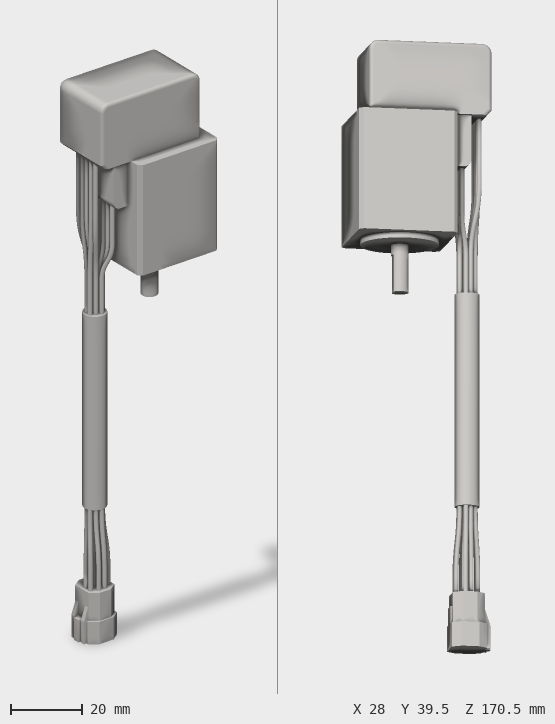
import cadquery as cq


OVERALL_HEIGHT = 170.5
CAP_HEIGHT = 20.3
MOTOR_HEIGHT = 34.5
CAP_BOTTOM = OVERALL_HEIGHT - CAP_HEIGHT
MOTOR_BOTTOM = CAP_BOTTOM - MOTOR_HEIGHT

MOTOR_SIDE = 28.0
MOTOR_CHAMFER = 1.2
BOSS_DIAMETER = 22.0
BOSS_HEIGHT = 1.5
SHAFT_DIAMETER = 5.0
SHAFT_LENGTH = 15.0
SHAFT_FLAT_LENGTH = 10.5
SHAFT_FLAT_DEPTH = 0.5

BLOCK_WIDTH = 17.0
BLOCK_DEPTH = 4.8
BLOCK_HEIGHT = 14.5
BLOCK_FILLET = 2.0
BLOCK_BOTTOM = CAP_BOTTOM - BLOCK_HEIGHT

CAP_WIDTH = 20.1
CAP_BACK = 10.4
CAP_FRONT = -24.2
CAP_TOP_FILLET = 2.5
CAP_UNDERSIDE_CHAMFER = 1.4
CAP_SIDE_FILLET = 1.0

CABLE_Y = -19.1
WIRE_DIAMETER = 1.3
SLEEVE_DIAMETER = 7.0
SLEEVE_TOP = 101.0
SLEEVE_LENGTH = 60.4
SLEEVE_BOTTOM = SLEEVE_TOP - SLEEVE_LENGTH
TERMINAL_GAP = 0.7
TERMINAL_PITCH = WIRE_DIAMETER + TERMINAL_GAP
CAP_WIRE_Y = -21.8
BLOCK_WIRE_Y = -16.7
CAP_WIRE_BEND = 132.3
BLOCK_WIRE_BEND = 123.5
BUNDLE_TOP = 111.0
BUNDLE_PITCH = 1.48
PLUG_WIRE_BEND = 20.5
PLUG_HALF_PITCH_X = 1.05
PLUG_PITCH_Y = 2.0

PLUG_HEIGHT = 15.7
PLUG_WIDTH = 9.9
PLUG_DEPTH = 9.0
PLUG_CORNER_X = 1.9
PLUG_CORNER_Y = 2.5
COLLAR_HEIGHT = 7.0
COLLAR_STEP = 0.5
KEY_WIDTH = 2.0
KEY_FRONT = -25.5
LATCH_X = 2.2
LATCH_WIDTH = 1.4
LATCH_FRONT = -25.0
LATCH_RAMP_HEIGHT = 4.1
BACK_RIB_WIDTH = 3.4
BACK_RIB_HEIGHT = 12.0

WIRE_ROWS = [
    ("cap", (-1, 1), (-0.5, 0.5), (0, 2)),
    ("cap", (-2, 0, 2), (-1, 0, 1), (-1, 1, 3)),
    ("block", (-2.5, -0.5, 0.5, 2.5), (-1.5, -0.5, 0.5, 1.5), (-3, -1, 1, 3)),
    ("block", (-1.5, 1.5), (-0.5, 0.5), (0, 2)),
]


def make_motor():
    body = (
        cq.Workplane("XY", origin=(0, 0, MOTOR_BOTTOM))
        .rect(MOTOR_SIDE, MOTOR_SIDE)
        .extrude(MOTOR_HEIGHT)
        .edges("|Z")
        .chamfer(MOTOR_CHAMFER)
    )
    underside = cq.Workplane("XY", origin=(0, 0, MOTOR_BOTTOM))
    boss = underside.circle(BOSS_DIAMETER / 2).extrude(-BOSS_HEIGHT)
    return body.union(boss).union(make_shaft()).union(make_terminal_block())


def make_shaft():
    shaft_end = MOTOR_BOTTOM - SHAFT_LENGTH
    shaft = (
        cq.Workplane("XY", origin=(0, 0, shaft_end))
        .circle(SHAFT_DIAMETER / 2)
        .extrude(SHAFT_LENGTH)
    )
    flat = cq.Workplane("XY").box(
        SHAFT_DIAMETER, SHAFT_DIAMETER, SHAFT_FLAT_LENGTH, centered=(True, False, False)
    )
    flat_y = SHAFT_DIAMETER / 2 - SHAFT_FLAT_DEPTH
    return shaft.cut(flat.translate((0, flat_y, shaft_end)))


def make_terminal_block():
    return (
        cq.Workplane("XY")
        .box(BLOCK_WIDTH, BLOCK_DEPTH, BLOCK_HEIGHT, centered=(True, False, False))
        .translate((0, -MOTOR_SIDE / 2 - BLOCK_DEPTH, BLOCK_BOTTOM))
        .edges("<Y and <Z")
        .fillet(BLOCK_FILLET)
    )


def make_encoder_cap():
    cap = (
        cq.Workplane("XY")
        .box(CAP_WIDTH, CAP_BACK - CAP_FRONT, CAP_HEIGHT, centered=(True, False, False))
        .translate((0, CAP_FRONT, CAP_BOTTOM))
    )
    cap = cap.edges("|X and >Z").fillet(CAP_TOP_FILLET)
    cap = cap.edges("|X and <Y and <Z").chamfer(CAP_UNDERSIDE_CHAMFER)
    cap_side_rims = cap.faces("<X or >X").edges("not <Z")
    return cap_side_rims.fillet(CAP_SIDE_FILLET)


def make_wire(start, end, upper_bend_z, lower_bend_z):
    """A round wire that runs down from start, shifts sideways between the bends and runs down to end."""
    upper_bend = cq.Vector(start.x, start.y, upper_bend_z)
    lower_bend = cq.Vector(end.x, end.y, lower_bend_z)
    middle_z = (upper_bend_z + lower_bend_z) / 2
    shift = cq.Edge.makeBezier([
        upper_bend,
        cq.Vector(start.x, start.y, middle_z),
        cq.Vector(end.x, end.y, middle_z),
        lower_bend,
    ])
    edges = [shift]
    if start.z > upper_bend_z:
        edges.insert(0, cq.Edge.makeLine(start, upper_bend))
    if end.z < lower_bend_z:
        edges.append(cq.Edge.makeLine(lower_bend, end))
    path = cq.Workplane(cq.Wire.assembleEdges(edges))
    profile = cq.Workplane("XY", origin=start.toTuple()).circle(WIRE_DIAMETER / 2)
    return profile.sweep(path)


def make_cable():
    cable = (
        cq.Workplane("XY", origin=(0, CABLE_Y, SLEEVE_BOTTOM))
        .circle(SLEEVE_DIAMETER / 2)
        .extrude(SLEEVE_LENGTH)
    )
    starts = {
        "cap": (CAP_WIRE_Y, CAP_BOTTOM, CAP_WIRE_BEND),
        "block": (BLOCK_WIRE_Y, BLOCK_BOTTOM, BLOCK_WIRE_BEND),
    }
    middle_row = (len(WIRE_ROWS) - 1) / 2
    for row, (kind, start_columns, bundle_columns, plug_columns) in enumerate(WIRE_ROWS):
        start_y, start_z, bend_z = starts[kind]
        bundle_y = CABLE_Y + (row - middle_row) * BUNDLE_PITCH
        plug_y = CABLE_Y + (row - middle_row) * PLUG_PITCH_Y
        for start_column, bundle_column, plug_column in zip(start_columns, bundle_columns, plug_columns):
            start = cq.Vector(start_column * TERMINAL_PITCH, start_y, start_z)
            sleeve_entry = cq.Vector(bundle_column * BUNDLE_PITCH, bundle_y, SLEEVE_TOP)
            sleeve_exit = cq.Vector(sleeve_entry.x, bundle_y, SLEEVE_BOTTOM)
            end = cq.Vector(plug_column * PLUG_HALF_PITCH_X, plug_y, PLUG_HEIGHT)
            cable = cable.union(make_wire(start, sleeve_entry, bend_z, BUNDLE_TOP))
            cable = cable.union(make_wire(sleeve_exit, end, SLEEVE_BOTTOM, PLUG_WIRE_BEND))
    return cable


def make_octagon_prism(half_width, half_depth, height):
    """A prism about the cable axis, its four corners cut off at a slant."""
    flat_x = half_width - PLUG_CORNER_X
    flat_y = half_depth - PLUG_CORNER_Y
    outline = [
        (half_width, flat_y), (flat_x, half_depth), (-flat_x, half_depth), (-half_width, flat_y),
        (-half_width, -flat_y), (-flat_x, -half_depth), (flat_x, -half_depth), (half_width, -flat_y),
    ]
    return cq.Workplane("XY", origin=(0, CABLE_Y, 0)).polyline(outline).close().extrude(height)


def make_latch(center_x):
    """A front rib whose top slopes back to the face of the plug."""
    profile = [
        (CABLE_Y, 0),
        (LATCH_FRONT, 0),
        (LATCH_FRONT, COLLAR_HEIGHT),
        (CABLE_Y - PLUG_DEPTH / 2, COLLAR_HEIGHT + LATCH_RAMP_HEIGHT),
        (CABLE_Y, COLLAR_HEIGHT + LATCH_RAMP_HEIGHT),
    ]
    start_x = center_x - LATCH_WIDTH / 2
    return cq.Workplane("YZ", origin=(start_x, 0, 0)).polyline(profile).close().extrude(LATCH_WIDTH)


def make_plug():
    half_width = PLUG_WIDTH / 2
    half_depth = PLUG_DEPTH / 2
    body = make_octagon_prism(half_width, half_depth, PLUG_HEIGHT)
    collar = make_octagon_prism(half_width + COLLAR_STEP, half_depth + COLLAR_STEP, COLLAR_HEIGHT)
    key = (
        cq.Workplane("XY")
        .box(KEY_WIDTH, CABLE_Y - KEY_FRONT, COLLAR_HEIGHT, centered=(True, False, False))
        .translate((0, KEY_FRONT, 0))
    )
    back_rib = (
        cq.Workplane("XY")
        .box(BACK_RIB_WIDTH, half_depth + COLLAR_STEP, BACK_RIB_HEIGHT, centered=(True, False, False))
        .translate((0, CABLE_Y, 0))
    )
    plug = body.union(collar).union(key).union(back_rib)
    for center_x in (-LATCH_X, LATCH_X):
        plug = plug.union(make_latch(center_x))
    return plug


motor = make_motor()
encoder_cap = make_encoder_cap()
cable = make_cable()
plug = make_plug()

bodies = [motor, encoder_cap, cable, plug]
result = cq.Compound.makeCompound([body.solids().val() for body in bodies])